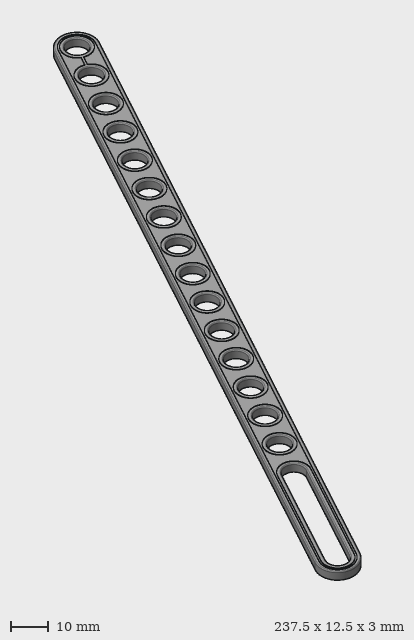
import cadquery as cq

length = 237.5
thickness = 3.0
pitch_count = 19
round_hole_count = 15
hole_diameter = 7.0
collar_diameter = 9.3
rim_width = 1.07
recess_depth = 0.2
marker_rib_width = 0.7
edge_fillet = 0.3

pitch = length / pitch_count
width = pitch
top_z = thickness / 2
recess_floor_z = top_z - recess_depth


def position_x(index):
    """X of a hole position, counted from 0 at the -X end."""
    return (index + 0.5) * pitch - length / 2


def bar_prism(bar_length, bar_width, bottom_z, height):
    """Prism with full-radius ends, centred on the Z axis."""
    return cq.Workplane("XY").workplane(offset=bottom_z).slot2D(bar_length, bar_width).extrude(height)


def opening_prisms(diameter, bottom_z, height):
    """Prisms on all round hole positions and along the slot, of the given diameter."""
    plane = cq.Workplane("XY").workplane(offset=bottom_z)
    hole_centres = [(position_x(index), 0) for index in range(round_hole_count)]
    round_prisms = plane.pushPoints(hole_centres).circle(diameter / 2).extrude(height)

    slot_start = position_x(round_hole_count)
    slot_end = position_x(pitch_count - 1)
    slot_length = slot_end - slot_start + diameter
    slot_centre = (slot_start + slot_end) / 2
    slot_prism = plane.center(slot_centre, 0).slot2D(slot_length, diameter).extrude(height)
    return round_prisms.union(slot_prism)


def rounded_bar():
    """Bar with its openings; every edge of both flat faces is filleted."""
    blank = bar_prism(length, width, -top_z, thickness)
    bar = blank.cut(opening_prisms(hole_diameter, -top_z, thickness))
    return bar.faces("|Z").edges().fillet(edge_fillet)


def marker_rib():
    """Thin rib between the first two holes, with its ends inside their collars."""
    rib_centre = (position_x(0) + position_x(1)) / 2
    rib_length = pitch - hole_diameter - 2 * edge_fillet
    plane = cq.Workplane("XY").workplane(offset=recess_floor_z)
    return plane.center(rib_centre, 0).rect(rib_length, marker_rib_width).extrude(recess_depth)


def top_recess():
    """Shallow recess inside the rim, leaving the collars and the marker rib standing."""
    field = bar_prism(length - 2 * rim_width, width - 2 * rim_width, recess_floor_z, recess_depth)
    collars = opening_prisms(collar_diameter, recess_floor_z, recess_depth)
    return field.cut(collars).cut(marker_rib())


result = rounded_bar().cut(top_recess())